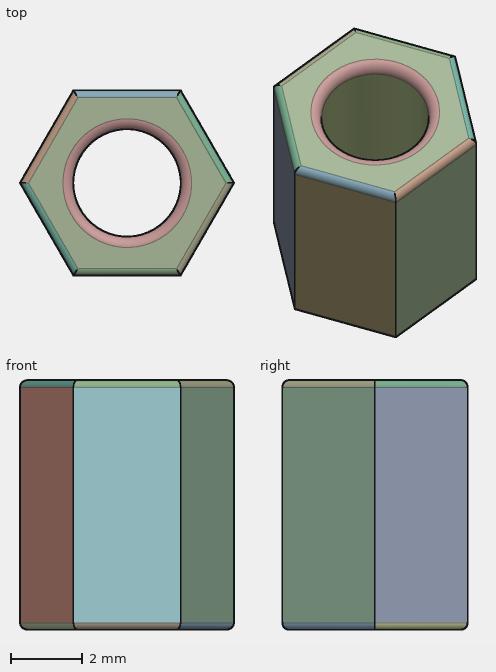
import cadquery as cq

height = 7.0
corner_diameter = 6.0
bore_diameter = 3.0
outer_edge_radius = 0.2
bore_edge_radius = 0.3

body = (
    cq.Workplane("XY")
    .polygon(6, corner_diameter)
    .extrude(height / 2, both=True)
    .faces("<Z or >Z")
    .edges()
    .fillet(outer_edge_radius)
)

bored_body = body.faces(">Z").workplane().hole(bore_diameter)
result = bored_body.faces("<Z or >Z").edges("%CIRCLE").fillet(bore_edge_radius)